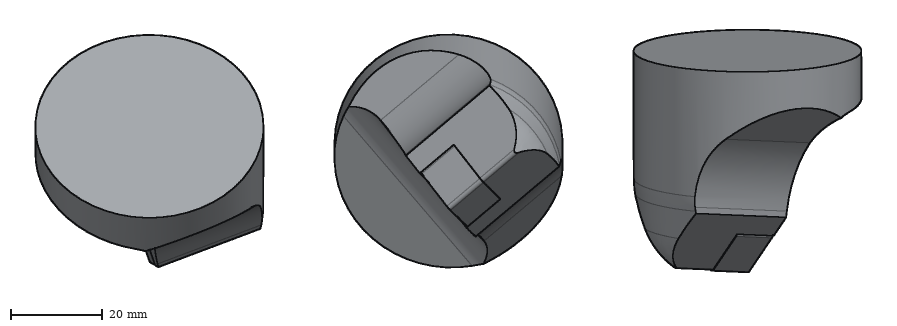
import cadquery as cq
import math

head_radius = 25.0
rim_thickness = 10.0
straight_depth = 28.3
shoulder_radius = 19.0
cone_angle = 10.0
cone_height = 6.8
nose_radius = 13.6
nose_end_angle = 60.0

tilt = 8.0
underside_slope = 7.0
relief_fillet = 8.0
clearance = 100.0

flank_angle = 40.0
blade_half_width = 12.0
waist_radius = 25.0
waist_start = 15.95

insert_circle = 12.7
insert_thickness = 9.5
insert_corner_radius = 0.8
insert_recess = 0.25
insert_overhang = 0.15
tip_depth = 49.39

lean = math.radians(tilt)
flank = math.radians(flank_angle)
tip_rounding = insert_corner_radius * (1 / math.sin(flank) - 1)
sharp_depth = tip_depth + tip_rounding * math.cos(lean)
sharp_y = tip_rounding * math.sin(lean)


def face_plane(setback):
    """Plane parallel to the blade face, lying `setback` behind the insert face."""
    origin = (
        0,
        sharp_y + setback * math.cos(lean),
        -sharp_depth + setback * math.sin(lean),
    )
    return cq.Plane(origin=origin, xDir=(1, 0, 0), normal=(0, -math.cos(lean), -math.sin(lean)))


def make_envelope():
    cone = math.radians(cone_angle)
    nose_end = math.radians(nose_end_angle)
    cone_top_r = head_radius - shoulder_radius * (1 - math.cos(cone))
    cone_top_z = -straight_depth - shoulder_radius * math.sin(cone)
    cone_end_r = cone_top_r - cone_height * math.tan(cone)
    cone_end_z = cone_top_z - cone_height
    nose_r = cone_end_r - nose_radius * (math.cos(cone) - math.cos(nose_end))
    nose_z = cone_end_z - nose_radius * (math.sin(nose_end) - math.sin(cone))
    return (
        cq.Workplane("XZ")
        .lineTo(head_radius, 0)
        .lineTo(head_radius, -straight_depth)
        .tangentArcPoint((cone_top_r, cone_top_z), relative=False)
        .lineTo(cone_end_r, cone_end_z)
        .tangentArcPoint((nose_r, nose_z), relative=False)
        .lineTo(nose_r, -clearance)
        .lineTo(0, -clearance)
        .close()
        .revolve(360, (0, 0, 0), (0, 1, 0))
    )


def make_relief():
    """Space in front of the blade and below the head, with a filleted inner corner."""
    slope = math.tan(math.radians(underside_slope))
    face_y = sharp_y - insert_recess / math.cos(lean)
    rise = sharp_depth - rim_thickness - slope * (head_radius + face_y)
    corner_height = rise / (1 - slope * math.tan(lean))
    corner_y = face_y - corner_height * math.tan(lean)
    corner_z = corner_height - sharp_depth
    foot_y = corner_y + (clearance + corner_z) * math.tan(lean)
    front_z = corner_z + slope * (clearance + corner_y)
    return (
        cq.Workplane("YZ")
        .moveTo(corner_y, corner_z)
        .lineTo(foot_y, -clearance)
        .lineTo(-clearance, -clearance)
        .lineTo(-clearance, front_z)
        .close()
        .extrude(clearance, both=True)
        .edges(cq.NearestToPointSelector((0, corner_y, corner_z)))
        .fillet(relief_fillet)
    )


def make_blade_prism():
    """Prism along the leaning axis whose outline bounds the blade and the head's lower edge."""
    flank_foot = insert_overhang / math.sin(flank)
    flank_top = flank_foot + blade_half_width / math.tan(flank)
    arc_end_x = blade_half_width + waist_radius * (1 - math.cos(flank))
    arc_end_v = waist_start + waist_radius * math.sin(flank)
    slope_end_v = arc_end_v + (clearance - arc_end_x) / math.tan(flank)
    tip_point = face_plane(0).toWorldCoords((0, flank_foot))
    return (
        cq.Workplane(face_plane(0))
        .moveTo(0, flank_foot)
        .lineTo(blade_half_width, flank_top)
        .lineTo(blade_half_width, waist_start)
        .tangentArcPoint((arc_end_x, arc_end_v), relative=False)
        .lineTo(clearance, slope_end_v)
        .lineTo(-clearance, slope_end_v)
        .lineTo(-arc_end_x, arc_end_v)
        .radiusArc((-blade_half_width, waist_start), waist_radius)
        .lineTo(-blade_half_width, flank_top)
        .close()
        .extrude(clearance, both=True)
        .edges(cq.NearestToPointSelector(tip_point.toTuple()))
        .fillet(insert_corner_radius)
    )


def make_rhombus(setback, thickness):
    """Rounded rhombic prism running forward from `setback` behind the insert face."""
    half_height = insert_circle / 2 / math.sin(flank)
    half_width = insert_circle / 2 / math.cos(flank)
    return (
        cq.Workplane(face_plane(setback))
        .polyline([
            (0, 0),
            (half_width, half_height),
            (0, 2 * half_height),
            (-half_width, half_height),
        ])
        .close()
        .extrude(thickness)
        .edges(cq.ParallelDirSelector(face_plane(0).zDir))
        .fillet(insert_corner_radius)
    )


holder = make_envelope().intersect(make_blade_prism()).cut(make_relief())
pocket = make_rhombus(insert_thickness, insert_thickness + insert_recess)
insert = make_rhombus(insert_thickness, insert_thickness)
result = holder.cut(pocket).union(insert)